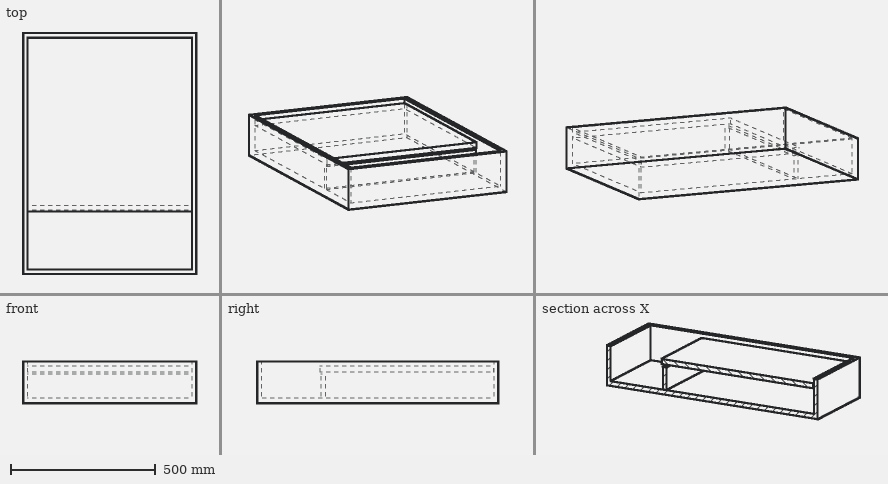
import cadquery as cq

TRAY_WIDTH = 600.0
TRAY_LENGTH = 835.0
TRAY_HEIGHT = 145.0
WALL = 16.0
FLOOR = 19.0

PANEL_LENGTH = 600.0
PANEL_THICKNESS = 20.0
PANEL_DROP = WALL
PANEL_REAR_GAP = 1.5

DIVIDER_THICKNESS = WALL
DIVIDER_SETBACK = 4.0
DIVIDER_TOP_GAP = 8.0

inner_width = TRAY_WIDTH - 2 * WALL
inner_length = TRAY_LENGTH - 2 * WALL
panel_front_y = TRAY_LENGTH - WALL - PANEL_REAR_GAP - PANEL_LENGTH
panel_bottom_z = TRAY_HEIGHT - PANEL_DROP - PANEL_THICKNESS
divider_front_y = panel_front_y + DIVIDER_SETBACK
divider_height = panel_bottom_z - DIVIDER_TOP_GAP - FLOOR


def board(width, length, height, corner):
    """Box that grows along +X, +Y and +Z from its lowest corner."""
    return cq.Workplane("XY").box(width, length, height, centered=False).translate(corner)


def make_tray():
    outside = board(TRAY_WIDTH, TRAY_LENGTH, TRAY_HEIGHT, (0, 0, 0))
    cavity = board(inner_width, inner_length, TRAY_HEIGHT - FLOOR, (WALL, WALL, FLOOR))
    return outside.cut(cavity)


def make_panel():
    corner = (WALL, panel_front_y, panel_bottom_z)
    return board(inner_width, PANEL_LENGTH, PANEL_THICKNESS, corner)


def make_divider():
    corner = (WALL, divider_front_y, FLOOR)
    return board(inner_width, DIVIDER_THICKNESS, divider_height, corner)


tray = make_tray()
panel = make_panel()
divider = make_divider()

result = cq.Compound.makeCompound([tray.val(), panel.val(), divider.val()])